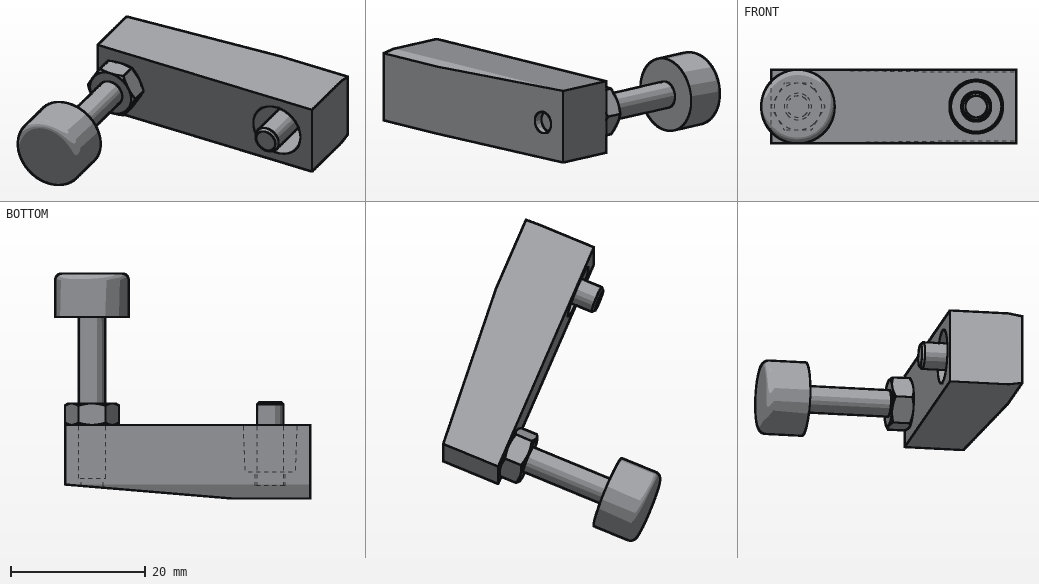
import cadquery as cq
import math

OVERALL_LENGTH = 38.0

FOOT_DIAMETER = 11.0
FOOT_HEIGHT = 6.5
FOOT_FILLET = 1.0
FOOT_REACH = 22.55
STUD_DIAMETER = 4.0
STUD_ENGAGEMENT = 7.98
TAP_DRILL_DIAMETER = 3.23

BLOCK_HEIGHT = FOOT_DIAMETER
BLOCK_DEPTH = 11.0
STRAIGHT_DEPTH = 8.9
STUD_INSET = 4.0
SLOPE_LENGTH = 25.0
TAPER_INSET = 0.35
BLOCK_LEFT = -STUD_INSET
BLOCK_RIGHT = OVERALL_LENGTH - FOOT_DIAMETER / 2

PIN_X = 26.52
PIN_DIAMETER = STUD_DIAMETER
PIN_TIP_DIAMETER = 3.23
PIN_PROTRUSION = 3.4
PIN_CHAMFER = (PIN_DIAMETER - PIN_TIP_DIAMETER) / 2
BORE_MOUTH_DIAMETER = 8.0
BORE_FLOOR_DIAMETER = 7.5
BORE_DEPTH = 7.0
CLEARANCE_DIAMETER = 4.5
POCKET_DEPTH = 9.0

NUT_ACROSS_FLATS = 7.0
NUT_ACROSS_CORNERS = NUT_ACROSS_FLATS / math.cos(math.radians(30))
NUT_HEIGHT = 3.2
NUT_CHAMFER_ANGLE = 30.0


def cylinder(diameter, y_start, y_end, x=0.0):
    """Cylinder along +Y between two Y positions."""
    base = cq.Workplane("XZ", origin=(x, y_start, 0))
    return base.circle(diameter / 2).extrude(y_start - y_end)


def block_blank():
    """Block with a sloped back and slightly tapered top and bottom sides."""
    plan = [
        (BLOCK_LEFT, 0),
        (BLOCK_RIGHT, 0),
        (BLOCK_RIGHT, BLOCK_DEPTH),
        (BLOCK_LEFT + SLOPE_LENGTH, BLOCK_DEPTH),
        (BLOCK_LEFT, STRAIGHT_DEPTH),
    ]
    half_height = BLOCK_HEIGHT / 2
    back_half_height = half_height - TAPER_INSET
    end_profile = [
        (0, -half_height),
        (STRAIGHT_DEPTH, -half_height),
        (BLOCK_DEPTH, -back_half_height),
        (BLOCK_DEPTH, back_half_height),
        (STRAIGHT_DEPTH, half_height),
        (0, half_height),
    ]
    plan_solid = cq.Workplane("XY").polyline(plan).close().extrude(half_height, both=True)
    end_plane = cq.Workplane("YZ", origin=(BLOCK_LEFT, 0, 0))
    end_solid = end_plane.polyline(end_profile).close().extrude(BLOCK_RIGHT - BLOCK_LEFT)
    return plan_solid.intersect(end_solid)


def pin_pocket():
    """Tapered bore followed by a narrower clearance hole around the pin."""
    half_profile = [
        (0, 0),
        (BORE_MOUTH_DIAMETER / 2, 0),
        (BORE_FLOOR_DIAMETER / 2, BORE_DEPTH),
        (CLEARANCE_DIAMETER / 2, BORE_DEPTH),
        (CLEARANCE_DIAMETER / 2, POCKET_DEPTH),
        (0, POCKET_DEPTH),
    ]
    pocket = cq.Workplane("XY").polyline(half_profile).close().revolve(360, (0, 0), (0, 1))
    return pocket.translate((PIN_X, 0, 0))


def make_block():
    stud_hole = cylinder(STUD_DIAMETER, 0, STUD_ENGAGEMENT)
    tap_drill_hole = cylinder(TAP_DRILL_DIAMETER, 0, BLOCK_DEPTH)
    return block_blank().cut(stud_hole).cut(tap_drill_hole).cut(pin_pocket())


def make_foot_screw():
    pad = cylinder(FOOT_DIAMETER, -FOOT_REACH, FOOT_HEIGHT - FOOT_REACH)
    pad = pad.faces("<Y").edges().fillet(FOOT_FILLET)
    stud = cylinder(STUD_DIAMETER, FOOT_HEIGHT - FOOT_REACH, STUD_ENGAGEMENT)
    return pad.union(stud)


def make_nut():
    """Nut against the block, with its corners chamfered at both ends."""
    hexagon = cq.Workplane("XZ").polygon(6, NUT_ACROSS_CORNERS).extrude(NUT_HEIGHT)
    chamfer_width = (NUT_ACROSS_CORNERS - NUT_ACROSS_FLATS) / 2
    chamfer_height = chamfer_width * math.tan(math.radians(NUT_CHAMFER_ANGLE))
    envelope = cylinder(NUT_ACROSS_CORNERS, -NUT_HEIGHT, 0)
    envelope = envelope.faces("<Y").chamfer(chamfer_height, chamfer_width)
    envelope = envelope.faces(">Y").chamfer(chamfer_height, chamfer_width)
    return hexagon.intersect(envelope).cut(cylinder(STUD_DIAMETER, -NUT_HEIGHT, 0))


def make_pin():
    """Pin seated on the floor of its pocket, with a chamfered free end."""
    pin = cylinder(PIN_DIAMETER, -PIN_PROTRUSION, POCKET_DEPTH, PIN_X)
    return pin.faces("<Y").chamfer(PIN_CHAMFER)


block = make_block()
foot_screw = make_foot_screw()
nut = make_nut()
pin = make_pin()

bodies = [block, foot_screw, nut, pin]
result = cq.Compound.makeCompound([body.solids().val() for body in bodies])